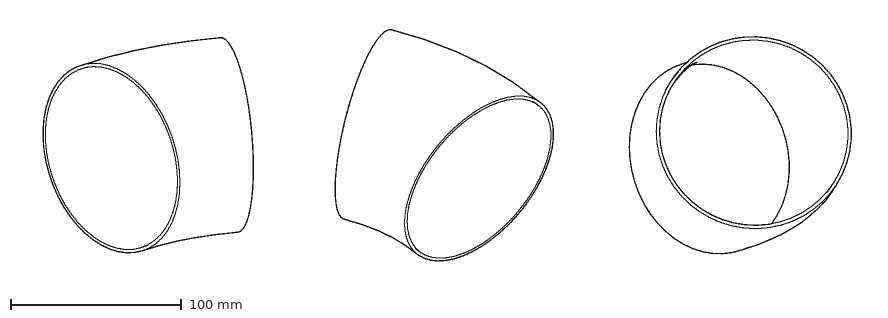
import cadquery as cq
import math

overall_width = 127.1
bend_angle = 30.0
bend_radius = 152.5
wall_thickness = 2.0

bend_cosine = math.cos(math.radians(bend_angle))
outer_radius = (overall_width - bend_radius * (1 - bend_cosine)) / (1 + bend_cosine)
inner_radius = outer_radius - wall_thickness


def bent_pipe():
    """Start ring lies on the XZ plane; the bend turns from +Y toward +X."""
    ring = cq.Workplane("XZ").circle(outer_radius).circle(inner_radius)
    axis_start = (bend_radius, 0, 0)
    axis_end = (bend_radius, -1, 0)
    return ring.revolve(bend_angle, axis_start, axis_end)


result = bent_pipe()